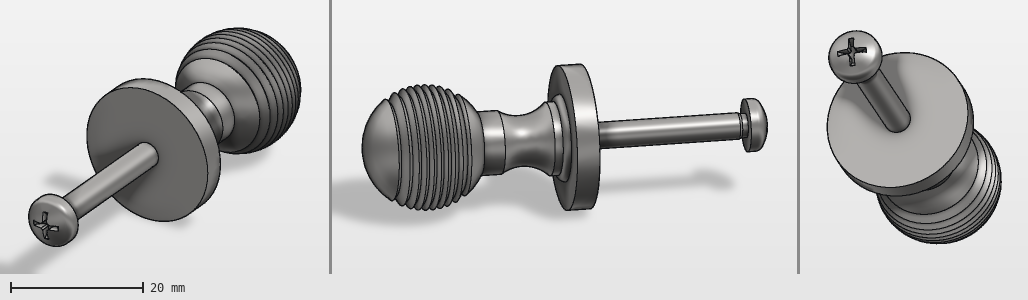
import cadquery as cq
import math


ball_radius = 9.5
ball_centre_y = 24.7
groove_root_radius = 8.8
ridge_offsets = [0.55, 1.7, 2.8, 4.1, 5.6]
root_offsets = [1.1, 2.3, 3.55, 5.1]

disc_radius = 22.0 / 2
disc_thickness = 3.5
foot_radius = 6.65
foot_bulge_y = 4.2
foot_bulge_radius = 6.35
collar_radius = 5.6
collar_start_y = 4.55
collar_end_y = 5.8
waist_radius = 3.85
waist_y = 10.1
neck_radius = 4.85
neck_start_y = 13.3

overall_length = 62.3
shank_radius = 2.025
engagement = 9.95
shank_end_y = -23.6
relief_radius = 1.84
relief_start_y = -24.0
head_radius = 4.02
head_seat_y = -24.85
head_rim_y = -26.0
dome_radius = 3.3
dome_start_y = -27.1
head_top_y = ball_centre_y + ball_radius - overall_length

recess_clearance = 0.6
recess_turn = 3.0
recess_arm_width = 0.75
recess_tip_radius = 2.25
recess_floor_radius = 1.4
recess_tip_depth = 0.5
recess_wall_depth = 1.5
recess_depth = 1.85
recess_core_width = 1.45


def ball_surface(offset, radius):
    """Profile point (radius, y) on a ball about the knob's ball centre."""
    return (math.sqrt(radius**2 - offset**2), ball_centre_y + offset)


def revolve_about_y(profile):
    return profile.close().revolve(360, (0, 0, 0), (0, 1, 0))


def ridge_zigzag():
    """Ridge tips and groove roots in turn, from the stem side to the free end."""
    ridges = [-offset for offset in reversed(ridge_offsets)] + ridge_offsets
    roots = [-offset for offset in reversed(root_offsets)] + [0.0] + root_offsets
    points = [ball_surface(ridges[0], ball_radius)]
    for root, ridge in zip(roots, ridges[1:]):
        points.append(ball_surface(root, groove_root_radius))
        points.append(ball_surface(ridge, ball_radius))
    return points


def make_knob():
    neck_end_offset = -math.sqrt(ball_radius**2 - neck_radius**2)
    outer_ridge = ridge_offsets[-1]
    lower_mid = ball_surface((neck_end_offset - outer_ridge) / 2, ball_radius)
    cap_mid = ball_surface((outer_ridge + ball_radius) / 2, ball_radius)
    zigzag = ridge_zigzag()
    profile = (
        cq.Workplane("XY")
        .moveTo(0, 0)
        .lineTo(disc_radius, 0)
        .lineTo(disc_radius, disc_thickness)
        .lineTo(foot_radius, disc_thickness)
        .threePointArc((foot_bulge_radius, foot_bulge_y), (collar_radius, collar_start_y))
        .lineTo(collar_radius, collar_end_y)
        .threePointArc((waist_radius, waist_y), (neck_radius, neck_start_y))
        .lineTo(neck_radius, ball_centre_y + neck_end_offset)
        .threePointArc(lower_mid, zigzag[0])
    )
    for point in zigzag[1:]:
        profile = profile.lineTo(*point)
    profile = profile.threePointArc(cap_mid, (0, ball_centre_y + ball_radius))
    screw_hole = cq.Workplane("XZ").circle(shank_radius).extrude(-engagement)
    return revolve_about_y(profile).cut(screw_hole)


def make_cross_recess():
    """Four-armed recess with steep arm tips and a shallow conical floor."""
    recess_start_y = head_top_y - recess_clearance
    prism_length = recess_depth + recess_clearance
    floor_y = head_top_y + recess_wall_depth
    envelope = revolve_about_y(
        cq.Workplane("XY")
        .moveTo(0, recess_start_y)
        .lineTo(recess_tip_radius, recess_start_y)
        .lineTo(recess_tip_radius, head_top_y + recess_tip_depth)
        .lineTo(recess_floor_radius, floor_y)
        .lineTo(0, head_top_y + recess_depth)
    )
    arm_length = 2 * recess_tip_radius
    base = cq.Workplane("XZ", origin=(0, recess_start_y, 0))
    cross = base.rect(arm_length, recess_arm_width).extrude(-prism_length)
    cross = cross.union(base.rect(recess_arm_width, arm_length).extrude(-prism_length))
    core = base.rect(recess_core_width, recess_core_width).extrude(-prism_length)
    cross = cross.union(core.rotate((0, 0, 0), (0, 1, 0), 45))
    return envelope.intersect(cross).rotate((0, 0, 0), (0, 1, 0), -recess_turn)


def make_screw():
    core_radius = recess_core_width / 2
    dome_rise = dome_start_y - head_top_y
    centre_depth = (dome_radius**2 + dome_rise**2 - core_radius**2) / (2 * dome_rise)
    dome_centre_y = head_top_y + centre_depth
    dome_sphere = math.hypot(core_radius, centre_depth)
    apex_y = dome_centre_y - dome_sphere
    profile = (
        cq.Workplane("XY")
        .moveTo(0, engagement)
        .lineTo(shank_radius, engagement)
        .lineTo(shank_radius, shank_end_y)
        .lineTo(relief_radius, relief_start_y)
        .lineTo(relief_radius, head_seat_y)
        .lineTo(head_radius, head_seat_y)
        .lineTo(head_radius, head_rim_y)
        .tangentArcPoint((dome_radius, dome_start_y), relative=False)
        .threePointArc((core_radius, head_top_y), (0, apex_y))
    )
    return revolve_about_y(profile).cut(make_cross_recess())


knob = make_knob()
screw = make_screw()

result = cq.Compound.makeCompound([knob.val(), screw.val()])